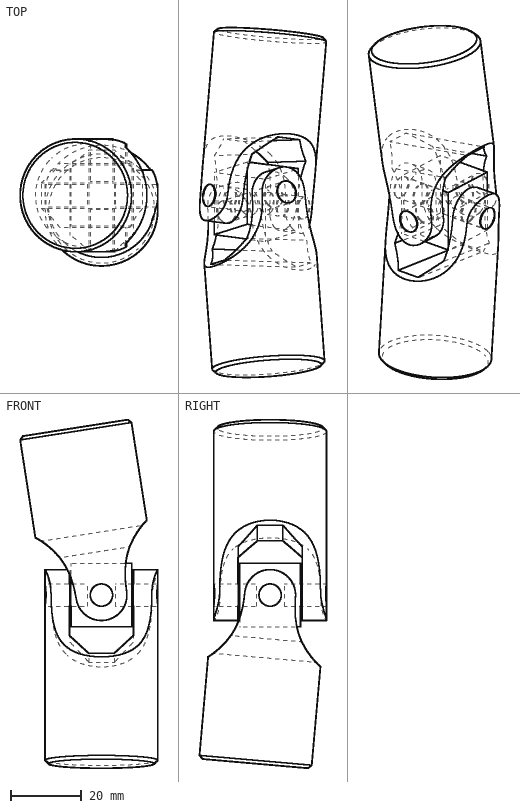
import cadquery as cq
import math

overall_height = 98.4
yoke_radius = 15.9
end_chamfer = 1.0
lobe_radius = 7.2
flank_mid_x = 11.0
flank_mid_z = 13.9
shoulder_direction = (4, 3)
shoulder_height = 18.9
slot_width = 18.0
slot_depth = 17.7
slot_corner = 5.4
block_width = 17.2
block_height = 18.0
pin_radius = 3.1
pin_inner_end = 3.9
pin_outer_end = yoke_radius
upper_tilt = 8.9
lower_tilt = 5.0

tilts = [math.radians(upper_tilt), math.radians(lower_tilt)]
rim_rise = (yoke_radius - end_chamfer) * sum(math.sin(tilt) for tilt in tilts)
yoke_length = (overall_height - rim_rise) / sum(math.cos(tilt) for tilt in tilts)


def make_barrel():
    barrel = cq.Workplane("XY").workplane(offset=-lobe_radius).circle(yoke_radius)
    return barrel.extrude(yoke_length + lobe_radius).faces(">Z").chamfer(end_chamfer)


def make_ear_profile():
    """Side shape of the yoke, extruded along its pivot axis Y."""
    tip = (lobe_radius, 0)
    flank = (flank_mid_x, flank_mid_z)
    shoulder = (yoke_radius, shoulder_height)
    half = (
        cq.Workplane("XZ")
        .moveTo(0, -lobe_radius)
        .radiusArc(tip, -lobe_radius)
        .spline([flank, shoulder], tangents=[(0, 1), shoulder_direction], includeCurrent=True)
        .lineTo(yoke_radius, yoke_length)
        .lineTo(0, yoke_length)
    )
    outline = half.mirrorY()
    return outline.extrude(yoke_radius, both=True)


def make_slot():
    """Gap between the ears, with bevelled floor corners, running along X."""
    slot = cq.Workplane("XY").workplane(offset=-lobe_radius)
    slot = slot.rect(2 * yoke_radius, slot_width).extrude(slot_depth + lobe_radius)
    return slot.faces(">Z").edges("|X").chamfer(slot_corner)


def make_yoke():
    """Yoke standing along +Z, pivoting about Y."""
    pin_hole = cq.Workplane("XZ").circle(pin_radius).extrude(2 * yoke_radius, both=True)
    return make_barrel().intersect(make_ear_profile()).cut(make_slot()).cut(pin_hole)


def make_pin(angle):
    """Pin lying along +X, then turned about Z."""
    pin = cq.Workplane("YZ").workplane(offset=pin_inner_end).circle(pin_radius)
    pin = pin.extrude(pin_outer_end - pin_inner_end)
    return pin.rotate((0, 0, 0), (0, 0, 1), angle)


upper_yoke = make_yoke().rotate((0, 0, 0), (0, 1, 0), -upper_tilt)

lower_yoke = (
    make_yoke()
    .rotate((0, 0, 0), (0, 0, 1), 90)
    .rotate((0, 0, 0), (1, 0, 0), 180 - lower_tilt)
)

pins = [make_pin(angle) for angle in (0, 90, 180, 270)]

center_block = cq.Workplane("XY").box(block_width, block_width, block_height)
for pin in pins:
    center_block = center_block.cut(pin)

result = cq.Compound.makeCompound(
    [
        upper_yoke.solids().val(),
        lower_yoke.solids().val(),
        center_block.solids().val(),
        *[pin.val() for pin in pins],
    ]
)